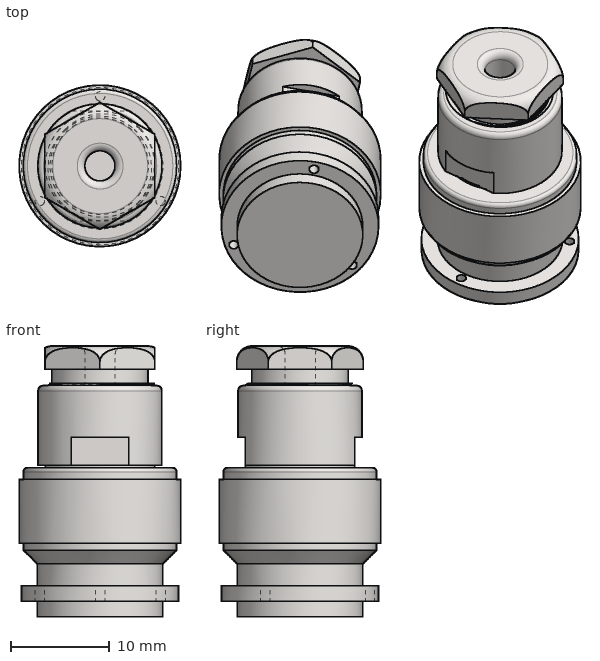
import cadquery as cq
import math

FLANGE_BOTTOM = 1.57
FLANGE_TOP = 3.17
CONE_BOTTOM = 5.35
CONE_TOP = 6.73
GRIP_BOTTOM = 7.43
GRIP_TOP = 13.9
COUPLING_TOP = 15.07
BODY_BOTTOM = 15.31
FLAT_TOP = 18.13
BODY_TOP = 23.38
THREAD_TOP = 23.63
HEX_BOTTOM = 25.0
TOTAL_HEIGHT = 27.38

BARREL_RADIUS = 6.35
FLANGE_RADIUS = 7.95
COUPLING_RADIUS = 7.75
GRIP_RADIUS = 8.17
COUPLING_FILLET = 0.4

FLANGE_HOLE_COUNT = 3
FLANGE_HOLE_DIAMETER = 0.95
FLANGE_HOLE_CIRCLE_RADIUS = 7.05
FIRST_FLANGE_HOLE_ANGLE = 90.0

BODY_RADIUS = 6.27
BODY_FILLET = 0.55
WRENCH_SIZE = 11.1

HEX_TOP_RADIUS = 4.8
NECK_RADIUS = 4.88
THREAD_RADIUS = 5.5
THREAD_PITCH = 0.75
THREAD_DEPTH = 0.44
THREAD_FLANK_ANGLE = 30.0
THREAD_ROOT_WIDTH = THREAD_PITCH / 4
GROOVE_START = 22.465
GROOVE_TURNS = 3
GROOVE_OVERSHOOT = 0.02

BORE_RADIUS = 1.52
BORE_MOUTH_FILLET = 0.8
BORE_BOTTOM = BODY_TOP


def disc(radius, bottom, top):
    return cq.Workplane("XY").workplane(offset=bottom).circle(radius).extrude(top - bottom)


def make_coupling():
    """Turned lower half: barrel, flange, cone, grip band and rounded top rim."""
    profile = (
        cq.Workplane("XZ")
        .lineTo(BARREL_RADIUS, 0)
        .lineTo(BARREL_RADIUS, FLANGE_BOTTOM)
        .lineTo(FLANGE_RADIUS, FLANGE_BOTTOM)
        .lineTo(FLANGE_RADIUS, FLANGE_TOP)
        .lineTo(BARREL_RADIUS, FLANGE_TOP)
        .lineTo(BARREL_RADIUS, CONE_BOTTOM)
        .lineTo(COUPLING_RADIUS, CONE_TOP)
        .lineTo(COUPLING_RADIUS, GRIP_BOTTOM)
        .lineTo(GRIP_RADIUS, GRIP_BOTTOM)
        .lineTo(GRIP_RADIUS, GRIP_TOP)
        .lineTo(COUPLING_RADIUS, GRIP_TOP)
        .lineTo(COUPLING_RADIUS, COUPLING_TOP - COUPLING_FILLET)
        .radiusArc((COUPLING_RADIUS - COUPLING_FILLET, COUPLING_TOP), -COUPLING_FILLET)
        .lineTo(0, COUPLING_TOP)
        .close()
    )
    coupling = profile.revolve(360, (0, 0, 0), (0, 1, 0))
    holes = (
        cq.Workplane("XY")
        .workplane(offset=FLANGE_BOTTOM)
        .polarArray(FLANGE_HOLE_CIRCLE_RADIUS, FIRST_FLANGE_HOLE_ANGLE, 360, FLANGE_HOLE_COUNT)
        .circle(FLANGE_HOLE_DIAMETER / 2)
        .extrude(FLANGE_TOP - FLANGE_BOTTOM)
    )
    return coupling.cut(holes)


def make_body():
    """Cylinder with a rounded top edge, two wrench flats and a neck below."""
    body = disc(BODY_RADIUS, BODY_BOTTOM, BODY_TOP).faces(">Z").edges().fillet(BODY_FILLET)
    flat_zone = disc(BODY_RADIUS, BODY_BOTTOM, FLAT_TOP)
    between_flats = (
        cq.Workplane("XY")
        .workplane(offset=BODY_BOTTOM)
        .rect(2 * BODY_RADIUS, WRENCH_SIZE)
        .extrude(FLAT_TOP - BODY_BOTTOM)
    )
    neck = disc(WRENCH_SIZE / 2, COUPLING_TOP, BODY_BOTTOM)
    return body.cut(flat_zone.cut(between_flats)).union(neck)


def make_thread_end():
    """Short end of the nut's right-hand thread, standing on the body."""
    root_radius = THREAD_RADIUS - THREAD_DEPTH
    outer_radius = THREAD_RADIUS + GROOVE_OVERSHOOT
    half_root = THREAD_ROOT_WIDTH / 2
    half_mouth = half_root + (outer_radius - root_radius) * math.tan(math.radians(THREAD_FLANK_ANGLE))
    helix = cq.Wire.makeHelix(
        THREAD_PITCH, GROOVE_TURNS * THREAD_PITCH, root_radius, center=cq.Vector(0, 0, GROOVE_START)
    )
    groove = (
        cq.Workplane("XZ")
        .moveTo(root_radius, GROOVE_START - half_root)
        .lineTo(outer_radius, GROOVE_START - half_mouth)
        .lineTo(outer_radius, GROOVE_START + half_mouth)
        .lineTo(root_radius, GROOVE_START + half_root)
        .close()
        .sweep(cq.Workplane(helix), isFrenet=True)
    )
    shank = disc(THREAD_RADIUS, GROOVE_START - THREAD_PITCH, GROOVE_START + (GROOVE_TURNS + 1) * THREAD_PITCH)
    end_zone = disc(GRIP_RADIUS, BODY_TOP, THREAD_TOP)
    return shank.cut(groove).intersect(end_zone)


def make_nut_head():
    """Hexagon with rounded top corners on a plain neck."""
    corner_radius = WRENCH_SIZE / math.sqrt(3)
    corner_rounding = corner_radius - HEX_TOP_RADIUS
    height = TOTAL_HEIGHT - HEX_BOTTOM
    hexagon = (
        cq.Workplane("XY")
        .workplane(offset=HEX_BOTTOM)
        .polygon(6, 2 * corner_radius)
        .extrude(height)
        .rotate((0, 0, 0), (0, 0, 1), 30)
    )
    rounded_disc = disc(corner_radius, HEX_BOTTOM, TOTAL_HEIGHT).faces(">Z").edges().fillet(corner_rounding)
    neck = disc(NECK_RADIUS, BODY_TOP, HEX_BOTTOM)
    return hexagon.intersect(rounded_disc).union(neck)


def make_bore():
    """Cutter for the blind cable entry with a bell-shaped mouth."""
    return (
        cq.Workplane("XZ")
        .moveTo(0, BORE_BOTTOM)
        .lineTo(BORE_RADIUS, BORE_BOTTOM)
        .lineTo(BORE_RADIUS, TOTAL_HEIGHT - BORE_MOUTH_FILLET)
        .radiusArc((BORE_RADIUS + BORE_MOUTH_FILLET, TOTAL_HEIGHT), BORE_MOUTH_FILLET)
        .lineTo(0, TOTAL_HEIGHT)
        .close()
        .revolve(360, (0, 0, 0), (0, 1, 0))
    )


result = make_coupling().union(make_body()).union(make_thread_end()).union(make_nut_head()).cut(make_bore())